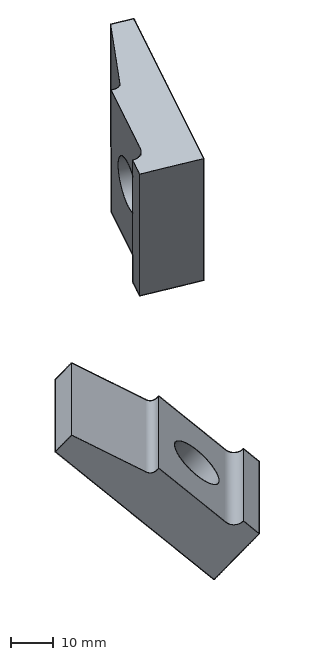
import cadquery as cq
import math

length = 50.0
depth = 16.0
height = 40.0

thin_end_depth = 5.8
seat_depth = 13.0
taper_angle = 13.0
foot_length = 5.0
seat_start = 21.0

taper_relief_radius = 2.0
foot_relief_radius = depth - seat_depth

hole_diameter = 14.0
hole_x = 33.0
hole_z = height / 2

slope = math.radians(taper_angle)
relief_center_x = seat_start - taper_relief_radius
tangent_x = relief_center_x + taper_relief_radius * math.sin(slope)
tangent_y = -(thin_end_depth + tangent_x * math.tan(slope))
relief_center_y = tangent_y - taper_relief_radius * math.cos(slope)
relief_mid_angle = (math.pi / 2 - slope) / 2
relief_mid = (
    relief_center_x + taper_relief_radius * math.cos(relief_mid_angle),
    relief_center_y + taper_relief_radius * math.sin(relief_mid_angle),
)

foot_x = length - foot_length
foot_center_x = foot_x - foot_relief_radius
foot_center_y = -depth
foot_mid_offset = foot_relief_radius * math.sqrt(0.5)
foot_mid = (foot_center_x + foot_mid_offset, foot_center_y + foot_mid_offset)

body = (
    cq.Workplane("XY")
    .moveTo(0, 0)
    .lineTo(0, -thin_end_depth)
    .lineTo(tangent_x, tangent_y)
    .threePointArc(relief_mid, (seat_start, relief_center_y))
    .lineTo(seat_start, -seat_depth)
    .lineTo(foot_center_x, -seat_depth)
    .threePointArc(foot_mid, (foot_x, foot_center_y))
    .lineTo(length, -depth)
    .lineTo(length, 0)
    .close()
    .extrude(height)
)

hole = (
    cq.Workplane("XZ")
    .center(hole_x, hole_z)
    .circle(hole_diameter / 2)
    .extrude(depth)
)

result = body.cut(hole)